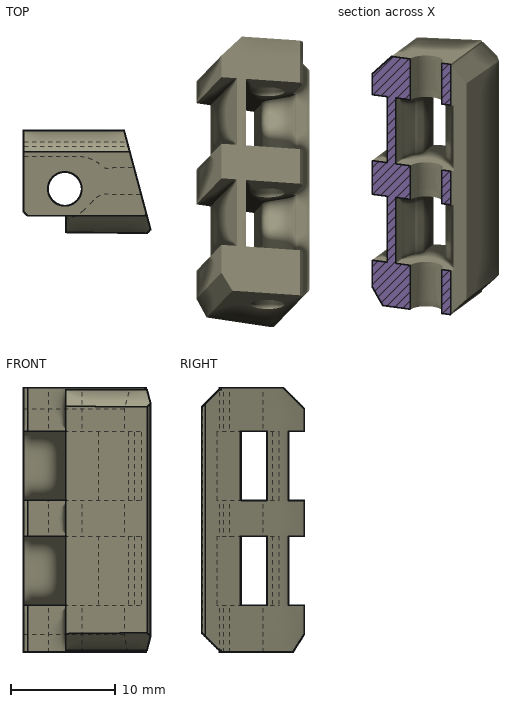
import cadquery as cq
import math

width = 12.21
depth = 9.85
height = 25.35
slant = math.tan(math.radians(15))

body_front = 1.67
front_chamfer = 0.4
inner_corner_chamfer = 0.2
top_back_chamfer = 2.03
bottom_back_chamfer_y = 1.1
bottom_back_chamfer_z = 1.72
lip_left = 4.08
lip_overlap = 0.75
lip_end_step = 0.18
lip_corner = 0.35
lip_face_rise = 0.08

hole_x = 3.98
hole_y = 4.25
hole_diameter = 3.22

window_height = 6.61
window_bottoms = (4.49, 14.55)
notch_front = 8.34
pocket_back = 7.4
pocket_front = 1.42
pocket_flat_end = 5.15
pocket_bend_x = 7.17
pocket_bend_y = 6.77
neck_x = 8.15
neck_back = 6.23
neck_front = 3.8
slot_start = 8.56
slot_relief = 0.08
ramp_top = 3.22
ramp_bottom = 2.23
arc_run = 1 / math.tan(math.radians(45 / 2))
margin = 0.25


def sloped_face_x(y):
    """X of the sloped +X face at a given Y."""
    return width - (y - lip_corner) * slant


def make_body():
    right_chamfer_y = body_front + inner_corner_chamfer
    outline = [
        (front_chamfer, body_front),
        (sloped_face_x(body_front) - inner_corner_chamfer, body_front),
        (sloped_face_x(right_chamfer_y), right_chamfer_y),
        (sloped_face_x(depth), depth),
        (0, depth),
        (0, body_front + front_chamfer),
    ]
    side = [
        (0, 0),
        (depth - bottom_back_chamfer_y, 0),
        (depth, bottom_back_chamfer_z),
        (depth, height - top_back_chamfer),
        (depth - top_back_chamfer, height),
        (0, height),
    ]
    block = cq.Workplane("XY").polyline(outline).close().extrude(height)
    return block.intersect(cq.Workplane("YZ").polyline(side).close().extrude(width))


def make_lip():
    lip_back = body_front + lip_overlap
    outline = [
        (lip_left, lip_face_rise),
        (width - lip_corner, 0),
        (width, lip_corner),
        (sloped_face_x(lip_back), lip_back),
        (lip_left, lip_back),
    ]
    face_inset = lip_end_step + body_front
    side = [
        (0, face_inset),
        (body_front, lip_end_step),
        (lip_back, lip_end_step),
        (lip_back, height - lip_end_step),
        (body_front, height - lip_end_step),
        (0, height - face_inset),
    ]
    block = cq.Workplane("XY").polyline(outline).close().extrude(height)
    return block.intersect(cq.Workplane("YZ").polyline(side).close().extrude(width))


def make_window(bottom):
    """Pocket narrowing to a slot through the +X face, plus a notch across the back."""
    slot_back = neck_back + slot_relief
    slot_front = neck_front - slot_relief
    ramp_top_x = neck_x - (neck_front - ramp_top) * arc_run
    ramp_bottom_x = ramp_top_x - (ramp_top - ramp_bottom)
    pocket_front_x = ramp_bottom_x - (ramp_bottom - pocket_front) * arc_run
    pocket = (
        cq.Workplane("XY", origin=(0, 0, bottom))
        .moveTo(-margin, pocket_back)
        .lineTo(pocket_flat_end, pocket_back)
        .tangentArcPoint((pocket_bend_x, pocket_bend_y), relative=False)
        .threePointArc((neck_x, neck_back), (slot_start, slot_back))
        .lineTo(width + margin, slot_back)
        .lineTo(width + margin, slot_front)
        .lineTo(slot_start, slot_front)
        .threePointArc((neck_x, neck_front), (ramp_top_x, ramp_top))
        .lineTo(ramp_bottom_x, ramp_bottom)
        .tangentArcPoint((pocket_front_x, pocket_front), relative=False)
        .lineTo(-margin, pocket_front)
        .close()
        .extrude(window_height)
    )
    notch = cq.Workplane("XY").box(
        width + 2 * margin, depth - notch_front + margin, window_height, centered=False
    )
    return pocket.union(notch.translate((-margin, notch_front, bottom)))


result = make_body().union(make_lip())
for window_bottom in window_bottoms:
    result = result.cut(make_window(window_bottom))

hole = cq.Workplane("XY").center(hole_x, hole_y).circle(hole_diameter / 2).extrude(height)
result = result.cut(hole)